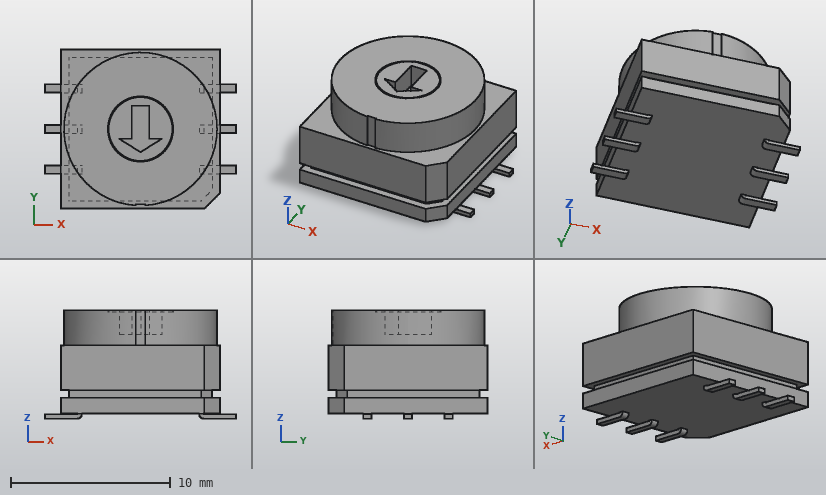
import cadquery as cq

OVERALL_LENGTH = 12.0
OVERALL_HEIGHT = 6.8

BODY_SIDE = 10.0
CORNER_BEVEL = 1.0
WAIST_INSET = 0.5

STANDOFF = 0.32
BASE_HEIGHT = 1.0
WAIST_HEIGHT = 0.48
HOUSING_HEIGHT = 2.8
WAIST_BOTTOM = STANDOFF + BASE_HEIGHT
HOUSING_BOTTOM = WAIST_BOTTOM + WAIST_HEIGHT
DIAL_BOTTOM = HOUSING_BOTTOM + HOUSING_HEIGHT
DIAL_HEIGHT = OVERALL_HEIGHT - DIAL_BOTTOM

DIAL_DIAMETER = 9.6
NOTCH_WIDTH = 0.6
NOTCH_DEPTH = 0.1

RING_INNER_DIAMETER = 4.0
RING_OUTER_DIAMETER = 4.1
RING_DEPTH = 0.1

ARROW_HALF_LENGTH = 1.45
ARROW_SHAFT_WIDTH = 1.1
ARROW_HEAD_WIDTH = 2.64
ARROW_HEAD_LENGTH = 0.83
ARROW_DEPTH = 1.5

LEAD_WIDTH = 0.53
LEAD_THICKNESS = 0.29
LEAD_REACH = 2.33
LEAD_BEND_RADIUS = 0.29
LEAD_PITCH = 2.55
LEADS_PER_SIDE = 3
LEAD_EMBED = 0.24


def bevelled_block(inset, bottom, height):
    """Square block with its +X, -Y corner cut, shrunk evenly by the inset."""
    half = BODY_SIDE / 2
    outline = cq.Workplane("XY").workplane(offset=bottom).polyline([
        (-half, -half),
        (half - CORNER_BEVEL, -half),
        (half, -half + CORNER_BEVEL),
        (half, half),
        (-half, half),
    ]).close()
    if inset:
        outline = outline.offset2D(-inset)
    return outline.extrude(height)


def make_dial():
    dial_plane = cq.Workplane("XY").workplane(offset=DIAL_BOTTOM)
    dial = dial_plane.circle(DIAL_DIAMETER / 2).extrude(DIAL_HEIGHT)
    notch = (
        dial_plane
        .center(0, -DIAL_DIAMETER / 2)
        .rect(NOTCH_WIDTH, 2 * NOTCH_DEPTH)
        .extrude(DIAL_HEIGHT)
    )
    return dial.cut(notch)


def make_ring_groove():
    return (
        cq.Workplane("XY")
        .workplane(offset=OVERALL_HEIGHT)
        .circle(RING_OUTER_DIAMETER / 2)
        .circle(RING_INNER_DIAMETER / 2)
        .extrude(-RING_DEPTH)
    )


def make_arrow_recess():
    half_shaft = ARROW_SHAFT_WIDTH / 2
    half_head = ARROW_HEAD_WIDTH / 2
    head_y = ARROW_HEAD_LENGTH - ARROW_HALF_LENGTH
    return (
        cq.Workplane("XY")
        .workplane(offset=OVERALL_HEIGHT)
        .polyline([
            (-half_shaft, ARROW_HALF_LENGTH),
            (-half_shaft, head_y),
            (-half_head, head_y),
            (0, -ARROW_HALF_LENGTH),
            (half_head, head_y),
            (half_shaft, head_y),
            (half_shaft, ARROW_HALF_LENGTH),
        ])
        .close()
        .extrude(-ARROW_DEPTH)
    )


def make_left_lead(y):
    """Foot on the board plane whose inner end turns up into the base."""
    outer_x = -OVERALL_LENGTH / 2
    inner_x = outer_x + LEAD_REACH
    leg_top = STANDOFF + LEAD_EMBED
    return (
        cq.Workplane("XZ", origin=(0, y, 0))
        .moveTo(outer_x, 0)
        .lineTo(inner_x - LEAD_BEND_RADIUS, 0)
        .radiusArc((inner_x, LEAD_BEND_RADIUS), -LEAD_BEND_RADIUS)
        .lineTo(inner_x, leg_top)
        .lineTo(inner_x - LEAD_THICKNESS, leg_top)
        .lineTo(inner_x - LEAD_THICKNESS, LEAD_THICKNESS)
        .lineTo(outer_x, LEAD_THICKNESS)
        .close()
        .extrude(LEAD_WIDTH / 2, both=True)
    )


result = bevelled_block(0, STANDOFF, BASE_HEIGHT)
result = result.union(bevelled_block(WAIST_INSET, WAIST_BOTTOM, WAIST_HEIGHT))
result = result.union(bevelled_block(0, HOUSING_BOTTOM, HOUSING_HEIGHT))
result = result.union(make_dial())
result = result.cut(make_ring_groove()).cut(make_arrow_recess())

for index in range(LEADS_PER_SIDE):
    lead_y = (index - (LEADS_PER_SIDE - 1) / 2) * LEAD_PITCH
    left_lead = make_left_lead(lead_y)
    result = result.union(left_lead).union(left_lead.mirror("YZ"))